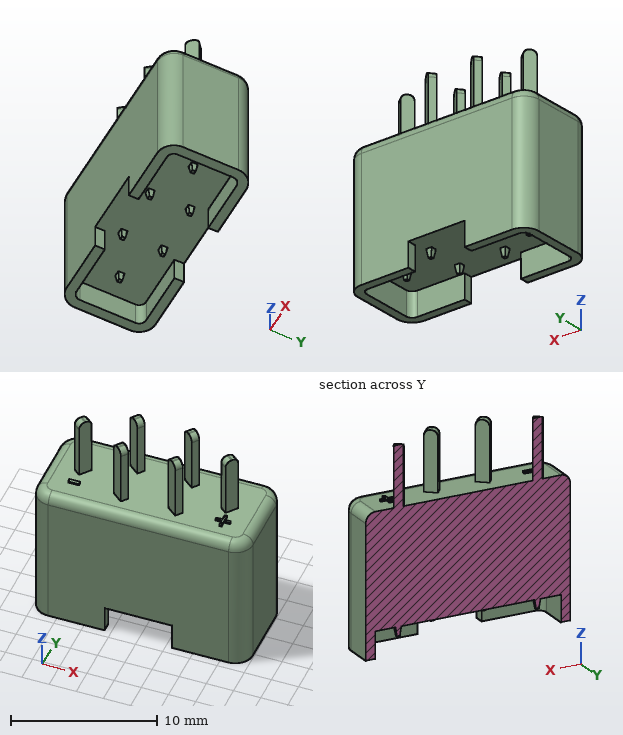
import cadquery as cq

HOUSING_LENGTH = 15.87
HOUSING_WIDTH = 6.89
HOUSING_HEIGHT = 10.9
CORNER_RADIUS = 1.3
TOP_FILLET = 0.75
WALL = 0.75

NOTCH_WIDTH = 4.95
NOTCH_HEIGHT = 2.03

OVERALL_HEIGHT = 15.5
PIN_LENGTH = 1.0
PIN_THICKNESS = 0.6
PIN_END_RADIUS = 0.46
INNER_PITCH_X = 4.0
INNER_PITCH_Y = 3.1
OUTER_PITCH_X = 10.78
INNER_PIN_ANGLE = -39.0
OUTER_PIN_ANGLE = INNER_PIN_ANGLE + 90.0

TAIL_LENGTH = 0.68
TAIL_ROOT_WIDTH = 0.48
TAIL_TIP_WIDTH = 0.26

MARK_HEIGHT = 0.12
MARK_X = 5.48
MARK_Y = -1.47
MINUS_LENGTH = 0.8
MINUS_STROKE = 0.26
PLUS_SIZE = 1.07
PLUS_STROKE = 0.18

INNER_PINS = [
    (side_x * INNER_PITCH_X / 2, side_y * INNER_PITCH_Y / 2, INNER_PIN_ANGLE)
    for side_x in (-1, 1)
    for side_y in (-1, 1)
]
OUTER_PINS = [(side * OUTER_PITCH_X / 2, 0, OUTER_PIN_ANGLE) for side in (-1, 1)]
PINS = INNER_PINS + OUTER_PINS


def base_block(length, width, height):
    """Box centred on the Z axis and standing on Z = 0."""
    return cq.Workplane("XY").box(length, width, height, centered=(True, True, False))


def make_housing():
    """Rounded shell, open at the bottom, with a notch through both long walls."""
    body = base_block(HOUSING_LENGTH, HOUSING_WIDTH, HOUSING_HEIGHT)
    body = body.edges("|Z").fillet(CORNER_RADIUS)
    body = body.faces(">Z").edges().fillet(TOP_FILLET)

    recess = base_block(HOUSING_LENGTH - 2 * WALL, HOUSING_WIDTH - 2 * WALL, NOTCH_HEIGHT)
    recess = recess.edges("|Z").fillet(CORNER_RADIUS - WALL)
    notch = base_block(NOTCH_WIDTH, HOUSING_WIDTH, NOTCH_HEIGHT)
    return body.cut(recess).cut(notch)


def make_blade(x, y, angle):
    """Flat blade rising from the recess roof to a rounded end, turned about its own axis."""
    blade = base_block(PIN_LENGTH, PIN_THICKNESS, OVERALL_HEIGHT - NOTCH_HEIGHT)
    blade = blade.faces(">Z").edges("|Y").fillet(PIN_END_RADIUS)
    return blade.rotate((0, 0, 0), (0, 0, 1), angle).translate((x, y, NOTCH_HEIGHT))


def make_tail(x, y):
    """Square tapered tail hanging from the recess roof, aligned with the housing."""
    return (
        cq.Workplane("XY", origin=(x, y, NOTCH_HEIGHT))
        .rect(TAIL_ROOT_WIDTH, TAIL_ROOT_WIDTH)
        .workplane(offset=-TAIL_LENGTH)
        .rect(TAIL_TIP_WIDTH, TAIL_TIP_WIDTH)
        .loft()
    )


def make_minus():
    """Raised bar marking the negative contact."""
    bar = base_block(MINUS_LENGTH, MINUS_STROKE, MARK_HEIGHT)
    return bar.translate((-MARK_X, MARK_Y, HOUSING_HEIGHT))


def make_plus():
    """Raised cross marking the positive contact."""
    cross = base_block(PLUS_SIZE, PLUS_STROKE, MARK_HEIGHT)
    cross = cross.union(base_block(PLUS_STROKE, PLUS_SIZE, MARK_HEIGHT))
    return cross.translate((MARK_X, MARK_Y, HOUSING_HEIGHT))


result = make_housing().union(make_minus()).union(make_plus())
for x, y, angle in PINS:
    result = result.union(make_blade(x, y, angle)).union(make_tail(x, y))